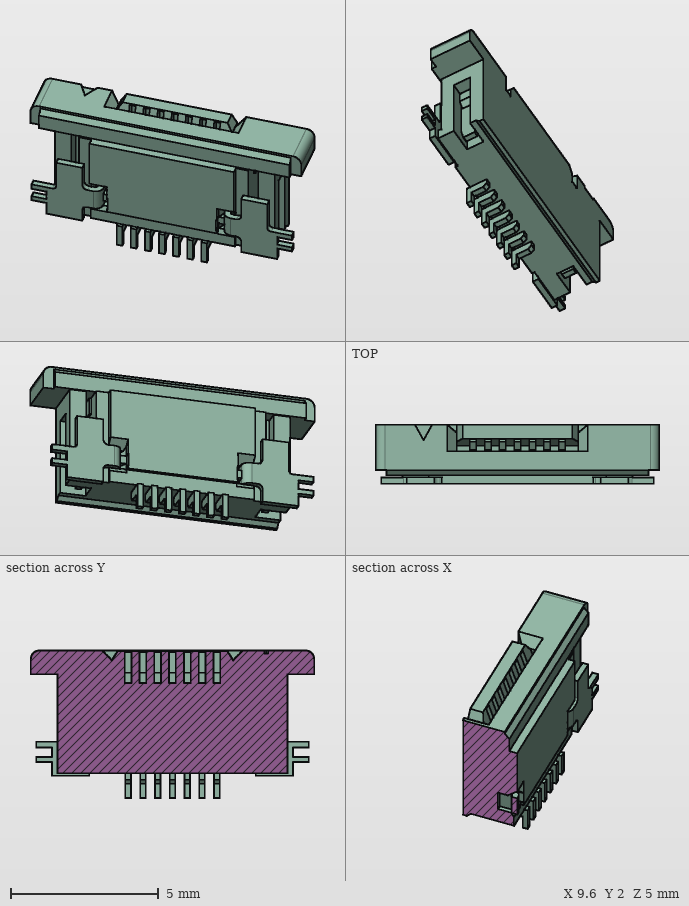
import cadquery as cq


total_depth = 2.0
total_height = 5.0
sides = (-1, 1)
clearance = 0.1

cap_half_width = 4.8
cap_bottom = 4.19
cap_front = 0.46
cap_corner_radius = 0.3
lip_half_width = 4.44
lip_front = 0.285
lip_top = 4.915
lip_chamfer = 0.175

body_half_width = 3.895
body_front = 0.22
body_bottom = 0.84
column_front = 0.35
column_bottom = 1.3
column_inner = 3.31
rail_bottom = 0.695
rail_flat = 0.15
rail_bevel = body_bottom - rail_bottom

cover_half_width = 2.56
cover_foot_front = 0.12
cover_foot_top = 1.36
window_inner = 1.945
window_rear_inner = 2.2
window_top = 2.44
window_bottom = 1.25
window_top_rear = 2.14
window_bottom_rear = 1.42
window_roof_end = 0.35
window_rear = 0.7

slot_front = 0.837
slot_rear = 1.477
slot_top = 3.5
slot_inner = 3.0
arm_inner = 3.2
arm_outer = 3.4
arm_rear = 1.44
arm_tip = 1.0
arm_taper_start = 1.4
arm_taper = 0.08
rib_outer = 3.06
rib_bottom = 3.6
catch_front = 0.89
catch_rear = 1.39
catch_reach = 0.2
catch_slope_bottom = 3.3
catch_face_bottom = 2.87
catch_bottom = 2.69

opening_half_width = 2.06
opening_front = 1.1
opening_floor = 4.25
opening_bevel = 0.32
opening_flare_depth = 0.27
tongue_top_half_width = 1.86
tongue_top = 4.98
tongue_top_front = 1.53
tongue_base_front = 1.28
tongue_bevel_bottom = 4.66

contact_count = 7
contact_pitch = 0.5
contact_slot_width = 0.22
contact_front = 1.15
contact_crest = 1.42
contact_roof = 4.93
contact_roof_front = 1.5
contact_rear = 1.75
contact_crest_height = 3.9
contact_slot_floor = 3.7

pin_width = 0.2
pin_thickness = 0.18
pin_rear = 0.78
pin_foot_bottom = 0.49
pin_bevel = 0.13

mark_x = -3.18
mark_half_width = 0.29
mark_tip = 1.477
mark_depth = 0.1

tab_thickness = body_front
tab_outer = 4.087
tab_top = 3.07
tab_bottom = 0.755
tab_upper_outer = 3.744
tab_inner = 2.816
prong_tip = 4.617
upper_prong = (1.711, 1.91)
lower_prong = (1.216, 1.393)
hook_bottom = 1.393
hook_top = 2.144
hook_bend_start = 2.43
hook_bend_radius = 0.29
hook_inner_radius = 0.09
tab_outer_fillet = 0.13
tab_inner_fillet = 0.18
barb_tip = 1.92
barb_bottom = 1.63
barb_top = 1.91
barb_relief_bottom = 1.47


def box(x_range, y_range, z_range):
    """Box between two limits on each axis."""
    lows = [min(r) for r in (x_range, y_range, z_range)]
    sizes = [abs(r[1] - r[0]) for r in (x_range, y_range, z_range)]
    return cq.Workplane("XY").box(*sizes, centered=False).translate(tuple(lows))


def side_profile(points, x_range):
    """Solid from (y, z) points, swept between two X values."""
    low, high = min(x_range), max(x_range)
    return cq.Workplane("YZ").workplane(offset=low).polyline(points).close().extrude(high - low)


def front_profile(points, y_range):
    """Solid from (x, z) points, swept between two Y values."""
    low, high = y_range
    return cq.Workplane("XZ").workplane(offset=-low).polyline(points).close().extrude(low - high)


def plan_profile(points, z_range):
    """Solid from (x, y) points, swept between two Z values."""
    low, high = z_range
    return cq.Workplane("XY").workplane(offset=low).polyline(points).close().extrude(high - low)


def contact_positions():
    """Evenly spaced X values, centred on the part."""
    first = -contact_pitch * (contact_count - 1) / 2
    return [first + contact_pitch * i for i in range(contact_count)]


def make_cap():
    cap = box((-cap_half_width, cap_half_width), (cap_front, total_depth), (cap_bottom, total_height))
    cap = cap.edges("|Y and >Z").fillet(cap_corner_radius)
    lip = box((-lip_half_width, lip_half_width), (lip_front, total_depth), (cap_bottom, lip_top))
    lip = lip.edges("|X and <Y and >Z").chamfer(lip_chamfer)
    return cap.union(lip)


def make_body():
    body = side_profile(
        [
            (body_front, cap_bottom),
            (body_front, body_bottom),
            (total_depth - rail_flat - rail_bevel, body_bottom),
            (total_depth - rail_flat, rail_bottom),
            (total_depth, rail_bottom),
            (total_depth, cap_bottom),
        ],
        (-body_half_width, body_half_width),
    )
    for side in sides:
        body = body.cut(
            box(
                (side * column_inner, side * (body_half_width + clearance)),
                (body_front - clearance, column_front),
                (column_bottom, cap_bottom),
            )
        )
    cover_width = (-cover_half_width, cover_half_width)
    cover = box(cover_width, (0, body_front), (cover_foot_top, cap_bottom))
    cover_foot = box(cover_width, (cover_foot_front, body_front), (body_bottom, cover_foot_top))
    return body.union(cover).union(cover_foot)


def side_slot(side):
    """Space around the slider arm: open to the side, the front and the bottom."""
    outer = side * (body_half_width + clearance)
    inner = side * slot_inner
    below = body_bottom - clearance
    slot = box((inner, outer), (slot_front, slot_rear), (below, slot_top))
    upper = box((inner, side * column_inner), (slot_front, slot_rear), (below, cap_bottom))
    groove = box(
        (inner, side * column_inner),
        (body_front - clearance, slot_front),
        (column_bottom, cap_bottom),
    )
    rib = box((inner, side * rib_outer), (slot_front, slot_rear), (rib_bottom, cap_bottom))
    return slot.union(upper).union(groove).cut(rib)


def slider_arm(side):
    """Thin arm below the cap with a tapered tip and a catch facing outwards."""
    arm = side_profile(
        [
            (slot_front, cap_bottom),
            (slot_front, arm_taper_start),
            (slot_front + arm_taper, arm_tip),
            (arm_rear - arm_taper, arm_tip),
            (arm_rear, arm_taper_start),
            (arm_rear, cap_bottom),
        ],
        (side * arm_inner, side * arm_outer),
    )
    catch_tip = side * (arm_outer + catch_reach)
    catch = front_profile(
        [
            (side * arm_inner, slot_top),
            (side * arm_outer, slot_top),
            (catch_tip, catch_slope_bottom),
            (catch_tip, catch_face_bottom),
            (side * arm_outer, catch_bottom),
            (side * arm_inner, catch_bottom),
        ],
        (catch_front, catch_rear),
    )
    return arm.union(catch)


def cover_window(side):
    """Corner window that narrows in height and width towards the rear."""
    height_profile = side_profile(
        [
            (0, window_bottom),
            (cover_foot_front, window_bottom),
            (body_front, window_bottom_rear),
            (window_rear, window_bottom_rear),
            (window_rear, window_top_rear),
            (window_roof_end, window_top_rear),
            (0, window_top),
        ],
        (side * window_inner, side * cover_half_width),
    )
    plan = plan_profile(
        [
            (side * cover_half_width, 0),
            (side * window_inner, 0),
            (side * window_inner, body_front),
            (side * window_rear_inner, window_rear),
            (side * cover_half_width, window_rear),
        ],
        (window_bottom, window_top),
    )
    barb_relief = box((side * barb_tip, side * window_inner), (0, body_front), (barb_relief_bottom, barb_top))
    return height_profile.intersect(plan).union(barb_relief)


def cable_opening():
    """Pocket open to the top and rear, with bevelled sides and flared rear corners."""
    bevel_half_width = opening_half_width + opening_bevel
    bevel_bottom = total_height - opening_bevel
    depth_range = (opening_front, total_depth)
    opening = front_profile(
        [
            (-opening_half_width, opening_floor),
            (opening_half_width, opening_floor),
            (opening_half_width, bevel_bottom),
            (bevel_half_width, total_height),
            (-bevel_half_width, total_height),
            (-opening_half_width, bevel_bottom),
        ],
        depth_range,
    )
    for side in sides:
        flare = plan_profile(
            [
                (side * opening_half_width, total_depth - opening_flare_depth),
                (side * bevel_half_width, total_depth),
                (side * opening_half_width, total_depth),
            ],
            (opening_floor, total_height),
        )
        opening = opening.union(flare)
    return opening


def make_tongue():
    front_slope = side_profile(
        [
            (tongue_base_front, opening_floor),
            (total_depth, opening_floor),
            (total_depth, tongue_top),
            (tongue_top_front, tongue_top),
        ],
        (-opening_half_width, opening_half_width),
    )
    side_slopes = front_profile(
        [
            (-opening_half_width, opening_floor),
            (opening_half_width, opening_floor),
            (opening_half_width, tongue_bevel_bottom),
            (tongue_top_half_width, tongue_top),
            (-tongue_top_half_width, tongue_top),
            (-opening_half_width, tongue_bevel_bottom),
        ],
        (opening_front, total_depth),
    )
    return front_slope.intersect(side_slopes)


def contact_slot(x):
    """Slot in the tongue and floor; the slope below is the face of the contact."""
    return side_profile(
        [
            (contact_front, total_height),
            (contact_front, contact_slot_floor),
            (contact_crest, contact_crest_height),
            (contact_rear, contact_crest_height),
            (contact_rear, contact_roof),
            (contact_roof_front, contact_roof),
            (contact_roof_front, total_height),
        ],
        (x - contact_slot_width / 2, x + contact_slot_width / 2),
    )


def solder_pin(x):
    """Pin with a foot under the housing and a leg down its front."""
    return side_profile(
        [
            (0, 0),
            (pin_thickness, 0),
            (pin_thickness, pin_foot_bottom),
            (pin_rear - pin_bevel, pin_foot_bottom),
            (pin_rear, pin_foot_bottom + pin_bevel),
            (pin_rear, body_bottom),
            (0, body_bottom),
        ],
        (x - pin_width / 2, x + pin_width / 2),
    )


def solder_tab():
    """Left tab: flat plate with two prongs and a hook bent back into the window."""
    y_range = (0, tab_thickness)
    plate = box((-tab_outer, -tab_inner), y_range, (tab_bottom, upper_prong[1]))
    plate = plate.union(box((-tab_upper_outer, -tab_inner), y_range, (tab_bottom, tab_top)))
    plate = plate.union(box((-tab_inner, -hook_bend_start), y_range, (hook_bottom, hook_top)))
    for prong in (upper_prong, lower_prong):
        plate = plate.union(box((-prong_tip, -tab_outer), y_range, prong))

    def edge_at(x, z):
        return cq.selectors.NearestToPointSelector((x, tab_thickness / 2, z))

    plate = plate.edges(edge_at(-tab_upper_outer, upper_prong[1])).fillet(tab_outer_fillet)
    for z in (hook_bottom, hook_top):
        plate = plate.edges(edge_at(-tab_inner, z)).fillet(tab_inner_fillet)

    bend_end = -hook_bend_start + hook_bend_radius
    inner_x = bend_end - tab_thickness
    hook = (
        cq.Workplane("XY")
        .workplane(offset=hook_bottom)
        .moveTo(-hook_bend_start, 0)
        .radiusArc((bend_end, hook_bend_radius), -hook_bend_radius)
        .lineTo(bend_end, window_rear)
        .lineTo(inner_x, window_rear)
        .lineTo(inner_x, tab_thickness + hook_inner_radius)
        .radiusArc((inner_x - hook_inner_radius, tab_thickness), hook_inner_radius)
        .lineTo(-hook_bend_start, tab_thickness)
        .close()
        .extrude(hook_top - hook_bottom)
    )
    barb = box((inner_x, -barb_tip), (body_front, window_rear), (barb_bottom, barb_top))
    return plate.union(hook).union(barb)


def polarity_mark():
    """Shallow triangle in the top of the cap, pointing forwards from the rear edge."""
    return plan_profile(
        [
            (mark_x - mark_half_width, total_depth),
            (mark_x, mark_tip),
            (mark_x + mark_half_width, total_depth),
        ],
        (total_height - mark_depth, total_height),
    )


result = make_cap().union(make_body())
result = result.cut(cable_opening()).union(make_tongue()).cut(polarity_mark())

for contact_x in contact_positions():
    result = result.cut(contact_slot(contact_x)).union(solder_pin(contact_x))

for side in sides:
    result = result.cut(side_slot(side)).cut(cover_window(side)).union(slider_arm(side))

left_tab = solder_tab()
result = result.union(left_tab).union(left_tab.mirror("YZ"))